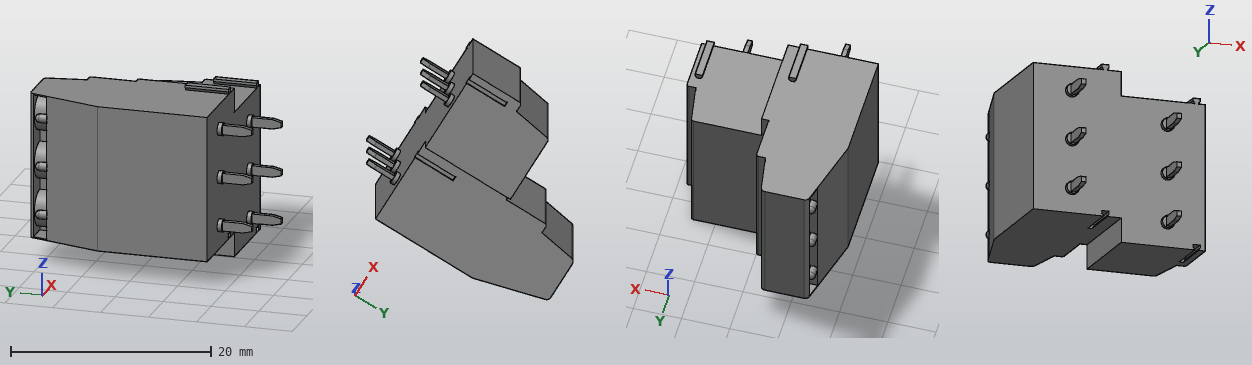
import cadquery as cq
import math


pole_count = 3
pole_pitch = 5.08
row_length = pole_count * pole_pitch
row_offset = pole_pitch / 2

overall_width = 18.3
tall_tier_width = 9.35
tall_step_x = 8.6
tier_spacing = overall_width - tall_step_x
tall_height = 19.12
low_height = 10.03
back_wall_height = 11.44
back_slope_run = 2.1
shoulder_drop = 4.27
shoulder_width = 0.97
front_slope_run = 0.7
tall_top_radius = 0.5
low_top_radius = 0.3
shoulder_radius = 0.27

window_ceiling = tall_height - 0.38
window_floor = tall_height - 1.9
window_skin = 0.14
sleeve_radius = 1.9
sleeve_x = 4.18
stud_radius = 0.45
stud_x = 2.03
stud_shoulder = tall_height - 1.06

pin_x = 4.1
pin_spacing = 10.15
pin_length = 3.48
pin_thickness = 0.5
pin_width = 1.0
pin_tip_width = 0.55
pin_taper_length = 0.9
collar_diameter = 1.3
collar_length = 0.45

rib_x = 7.68
rib_length = 4.5
rib_height = 0.56
rib_width = 0.77
rib_side_height = 0.27
rib_neck_width = 0.4


def tier_pole_heights(tier_bottom):
    """Z positions of the poles of one tier."""
    return [tier_bottom + (index + 0.5) * pole_pitch for index in range(pole_count)]


def fillet_edges_at(body, corners, radius):
    """Round the Z edges that pass through the given (x, y) corners."""
    for x, y in corners:
        edge = cq.selectors.NearestToPointSelector((x, y, body.val().Center().z))
        body = body.edges("|Z").edges(edge).fillet(radius)
    return body


def front_outline(step_x, height):
    """Points from the shoulder of a tier up to the outer corner of its top."""
    shoulder_y = height - shoulder_drop
    slope_foot_x = step_x - shoulder_width
    return [
        (step_x, shoulder_y),
        (slope_foot_x, shoulder_y),
        (slope_foot_x - front_slope_run, height),
    ]


def tall_tier():
    front = front_outline(tall_step_x, tall_height)
    top_back = (back_slope_run, tall_height)
    outline = [(0, 0), (tall_tier_width, 0), (tall_tier_width, low_height), (tall_step_x, low_height)]
    outline += front + [top_back, (0, back_wall_height)]
    body = cq.Workplane("XY").workplane(offset=row_offset).polyline(outline).close().extrude(row_length)
    body = fillet_edges_at(body, [top_back, front[-1]], tall_top_radius)
    return fillet_edges_at(body, [front[0]], shoulder_radius)


def low_tier():
    front = front_outline(overall_width, low_height)
    outline = [(tall_tier_width, 0), (overall_width, 0)] + front + [(tall_tier_width, low_height)]
    body = cq.Workplane("XY").polyline(outline).close().extrude(row_length)
    body = fillet_edges_at(body, [front[-1]], low_top_radius)
    return fillet_edges_at(body, [front[0]], shoulder_radius)


def window_cut():
    """Space of the window: a slot as deep as the sleeve axes, less the half sleeves."""
    window_height = window_ceiling - window_floor
    space = (
        cq.Workplane("XY")
        .box(sleeve_x, window_height, row_length - 2 * window_skin, centered=False)
        .translate((0, window_floor, row_offset + window_skin))
    )
    for z in tier_pole_heights(row_offset):
        sleeve = cq.Solid.makeCylinder(
            sleeve_radius, window_height, cq.Vector(sleeve_x, window_floor, z), cq.Vector(0, 1, 0)
        )
        space = space.cut(cq.Workplane(sleeve))
    return space


def stud(z):
    """Upright round stud with a domed end, standing on the window floor."""
    shaft_length = stud_shoulder - window_floor
    dome_y = shaft_length + stud_radius
    arc_mid = stud_radius * math.sqrt(0.5)
    return (
        cq.Workplane("XY")
        .lineTo(stud_radius, 0)
        .lineTo(stud_radius, shaft_length)
        .threePointArc((arc_mid, shaft_length + arc_mid), (0, dome_y))
        .close()
        .revolve(360, (0, 0), (0, 1))
        .translate((stud_x, window_floor, z))
    )


def pin(x, z):
    """Round collar on the seat with a flat pin that tapers to its tip."""
    taper_y = pin_taper_length - pin_length
    half_width = pin_width / 2
    half_tip = pin_tip_width / 2
    blade = (
        cq.Workplane("YZ")
        .polyline([
            (0, -half_width),
            (0, half_width),
            (taper_y, half_width),
            (-pin_length, half_tip),
            (-pin_length, -half_tip),
            (taper_y, -half_width),
        ])
        .close()
        .extrude(pin_thickness / 2, both=True)
    )
    collar = cq.Workplane("XZ").circle(collar_diameter / 2).extrude(collar_length)
    return blade.union(collar).translate((x, 0, z))


def rib(x, z):
    """Rib of undercut section running up from the seat, with its neck at height z."""
    half_width = rib_width / 2
    half_neck = rib_neck_width / 2
    flank_top = rib_height - rib_side_height
    return (
        cq.Workplane("XZ")
        .polyline([
            (-half_neck, 0),
            (half_neck, 0),
            (half_width, flank_top),
            (half_width, rib_height),
            (-half_width, rib_height),
            (-half_width, flank_top),
        ])
        .close()
        .extrude(-rib_length)
        .translate((x, 0, z))
    )


result = tall_tier().cut(window_cut()).union(low_tier())

for tier_index, tier_bottom in enumerate((row_offset, 0)):
    tier_rib_x = rib_x + tier_index * tier_spacing
    result = result.cut(rib(tier_rib_x, tier_bottom))
    result = result.union(rib(tier_rib_x, tier_bottom + row_length))
    for pole_z in tier_pole_heights(tier_bottom):
        result = result.union(pin(pin_x + tier_index * pin_spacing, pole_z))

for pole_z in tier_pole_heights(row_offset):
    result = result.union(stud(pole_z))